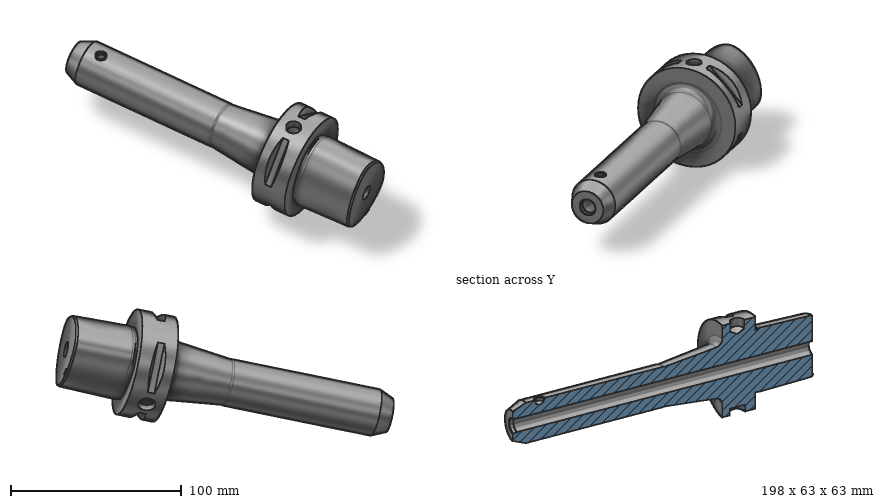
import cadquery as cq
import math

total_length = 198.0
mark_height = 0.5
shank_end_x = total_length - mark_height
flange_width = 22.0
shank_length = 37.5
flange_back_x = shank_end_x - shank_length
flange_front_x = flange_back_x - flange_width

nose_diameter = 20.4
nose_length = 8.5
body_diameter = 28.0
body_end_x = 98.6
step_diameter = 27.5
step_length = 1.2
cone_start_x = body_end_x + step_length
cone_end_diameter = 36.2
cone_fillet = 4.5
flange_diameter = 63.0
bore_diameter = 9.5
bore_depth = 2.8
bore_mouth_diameter = 10.3
passage_diameter = 9.0

lobe_width = 44.0
neck_lobe_width = 43.5
lobe_rise = 1.4
taper_ratio = 1 / 20
collar_length = 3.2
neck_length = 1.4
neck_diameter = 44.7
end_bevel_length = 1.2
end_bevel_depth = 0.5
lobe_points = 72

mark_width = 4.8
mark_z = -18.2

slot_x = flange_front_x + 10.0
slot_depth = 3.8
slot_floor_width = 4.0
slot_top_width = 8.1
index_hole_diameter = 9.0
index_hole_depth = 6.0
chip_hole_diameter = 10.0
chip_hole_depth = 4.5
drill_point_angle = 120

screw_x = 17.8
screw_diameter = 6.7
screw_recess = 0.5
socket_diameter = 5.0
socket_depth = 2.0


def make_body():
    """Revolved nose, body, cone and flange with a fillet at the flange face."""
    body = (
        cq.Workplane("XY")
        .moveTo(0, 0)
        .lineTo(0, nose_diameter / 2)
        .lineTo(nose_length, body_diameter / 2)
        .lineTo(body_end_x, body_diameter / 2)
        .lineTo(cone_start_x, step_diameter / 2)
        .lineTo(flange_front_x, cone_end_diameter / 2)
        .lineTo(flange_front_x, flange_diameter / 2)
        .lineTo(flange_back_x, flange_diameter / 2)
        .lineTo(flange_back_x, 0)
        .close()
        .revolve(360, (0, 0, 0), (1, 0, 0))
    )
    inner_corner = cq.selectors.NearestToPointSelector((flange_front_x, 0, 0))
    flange_front_face = body.faces("|X").faces(inner_corner)
    return flange_front_face.edges("%CIRCLE").edges(cq.selectors.RadiusNthSelector(0)).fillet(cone_fillet)


def lobe_wire(x, width):
    """Closed constant-width three-lobed curve at x, with one lobe pointing to +Z."""

    def point(index):
        angle = 2 * math.pi * index / lobe_points
        support = width / 2 + lobe_rise * math.cos(3 * angle)
        slope = -3 * lobe_rise * math.sin(3 * angle)
        z = support * math.cos(angle) - slope * math.sin(angle)
        y = support * math.sin(angle) + slope * math.cos(angle)
        return cq.Vector(x, y, z)

    curve = cq.Edge.makeSpline([point(i) for i in range(lobe_points)], periodic=True)
    return cq.Wire.assembleEdges([curve])


def make_shank():
    """Slightly reduced neck, flared collar, tapered length and bevelled end; the neck trims the lobes."""
    taper_start_x = flange_back_x + collar_length
    bevel_start_x = shank_end_x - end_bevel_length
    taper_end_width = lobe_width - taper_ratio * (bevel_start_x - taper_start_x)
    sections = [
        lobe_wire(flange_back_x, neck_lobe_width),
        lobe_wire(flange_back_x + neck_length, neck_lobe_width),
        lobe_wire(taper_start_x, lobe_width),
        lobe_wire(bevel_start_x, taper_end_width),
        lobe_wire(shank_end_x, taper_end_width - 2 * end_bevel_depth),
    ]
    shank = cq.Workplane(cq.Solid.makeLoft(sections, True))
    neck_ring = (
        cq.Workplane("YZ", origin=(flange_back_x, 0, 0))
        .circle(flange_diameter / 2)
        .circle(neck_diameter / 2)
        .extrude(neck_length)
    )
    return shank.cut(neck_ring)


def make_mark():
    """Small raised bar on the shank end, opposite the +Z lobe."""
    bar = cq.Workplane("XY").box(2 * mark_height, mark_width, mark_height)
    return bar.translate((shank_end_x, 0, mark_z))


def gripper_slot(angle):
    """Straight flared slot across the flange rim, turned about X from +Z."""
    top_z = flange_diameter / 2
    floor_z = top_z - slot_depth
    slot = (
        cq.Workplane("XZ")
        .moveTo(slot_x - slot_floor_width / 2, floor_z)
        .lineTo(slot_x + slot_floor_width / 2, floor_z)
        .lineTo(slot_x + slot_top_width / 2, top_z)
        .lineTo(slot_x - slot_top_width / 2, top_z)
        .close()
        .extrude(flange_diameter / 2, both=True)
    )
    return slot.rotate((0, 0, 0), (1, 0, 0), angle)


def pointed_hole(x, top_z, diameter, depth):
    """Vertical drilled hole with a conical point below its straight depth."""
    radius = diameter / 2
    point_depth = radius / math.tan(math.radians(drill_point_angle / 2))
    return (
        cq.Workplane("XZ")
        .moveTo(0, top_z)
        .lineTo(radius, top_z)
        .lineTo(radius, top_z - depth)
        .lineTo(0, top_z - depth - point_depth)
        .close()
        .revolve(360, (0, 0, 0), (0, 1, 0))
        .translate((x, 0, 0))
    )


result = make_body().union(make_shank()).union(make_mark())

result = result.cut(cq.Workplane("YZ").circle(bore_diameter / 2).extrude(bore_depth))
result = result.cut(cq.Workplane("YZ").circle(passage_diameter / 2).extrude(shank_end_x))
mouth_bevel = (bore_mouth_diameter - bore_diameter) / 2
mouth_cone = cq.Solid.makeCone(
    bore_mouth_diameter / 2, bore_diameter / 2, mouth_bevel, cq.Vector(0, 0, 0), cq.Vector(1, 0, 0)
)
result = result.cut(cq.Workplane(mouth_cone))

for slot_angle in (45, 135, 225, 315):
    result = result.cut(gripper_slot(slot_angle))

result = result.cut(pointed_hole(slot_x, flange_diameter / 2, index_hole_diameter, index_hole_depth))

chip_hole = (
    cq.Workplane("XY", origin=(slot_x, 0, -flange_diameter / 2))
    .circle(chip_hole_diameter / 2)
    .extrude(chip_hole_depth)
)
result = result.cut(chip_hole)

screw_face_z = body_diameter / 2 - screw_recess
screw_seat = (
    cq.Workplane("XY", origin=(screw_x, 0, screw_face_z))
    .circle(screw_diameter / 2)
    .extrude(body_diameter)
)
result = result.cut(screw_seat)
result = result.cut(pointed_hole(screw_x, screw_face_z, socket_diameter, socket_depth))